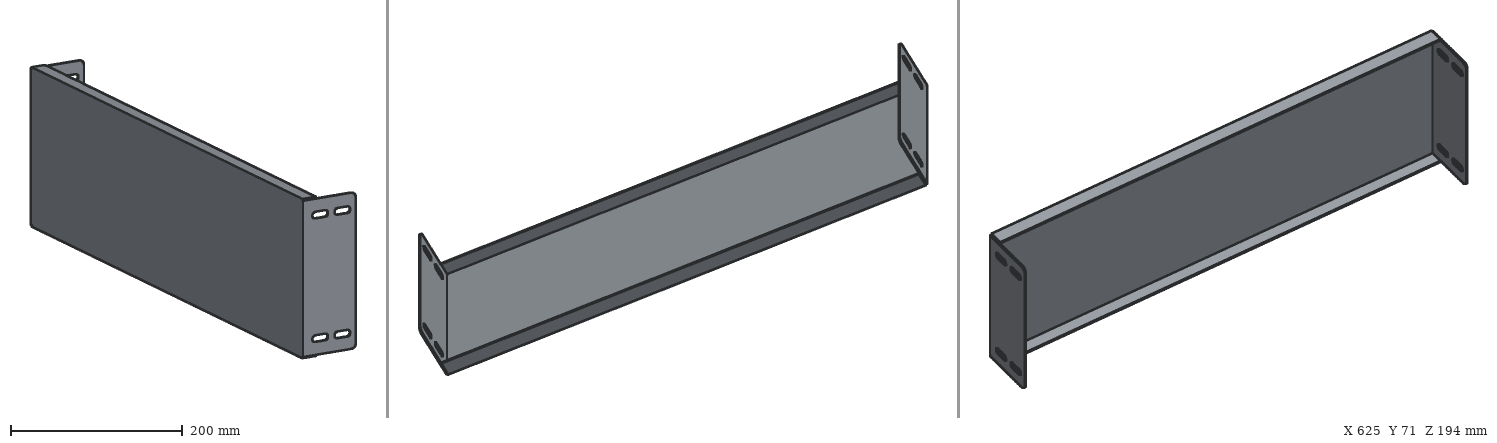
import cadquery as cq

length = 625.0
depth = 71.0
height = 194.0
thickness = 2.0

flange_depth = 18.0

ear_height = height - 2 * thickness
ear_corner_radius = 6.0

slot_length = 21.0
slot_width = 8.0
slot_spacing_y = 30.0
slot_spacing_z = 150.0
rear_slot_setback = 18.0
slot_center_y = depth - rear_slot_setback - slot_spacing_y / 2


def block(size_x, size_y, size_z, center_x, front_y, center_z):
    """Box centred on X and Z at the given place, running back from front_y."""
    return (
        cq.Workplane("XY")
        .box(size_x, size_y, size_z, centered=(True, False, True))
        .translate((center_x, front_y, center_z))
    )


def front_panel():
    """Panel whose four corners have square notches one thickness wide."""
    tall_part = block(length - 2 * thickness, thickness, height, 0, 0, 0)
    wide_part = block(length, thickness, ear_height, 0, 0, 0)
    return tall_part.union(wide_part)


def flange(side):
    """Flange between the ears; side is 1 for the top and -1 for the bottom."""
    center_z = side * (height - thickness) / 2
    return block(length - 2 * thickness, flange_depth, thickness, 0, 0, center_z)


def ear(side):
    """Ear with rounded rear corners; side is 1 for +X and -1 for -X."""
    center_x = side * (length - thickness) / 2
    plate = block(thickness, depth, ear_height, center_x, 0, 0)
    return plate.edges("|X and >Y").fillet(ear_corner_radius)


def mounting_slots():
    """Slot cutters running through both ears."""
    return (
        cq.Workplane("YZ")
        .center(slot_center_y, 0)
        .rarray(slot_spacing_y, slot_spacing_z, 2, 2)
        .slot2D(slot_length, slot_width)
        .extrude(length, both=True)
    )


result = front_panel()
for side in (-1, 1):
    result = result.union(flange(side)).union(ear(side))
result = result.cut(mounting_slots())